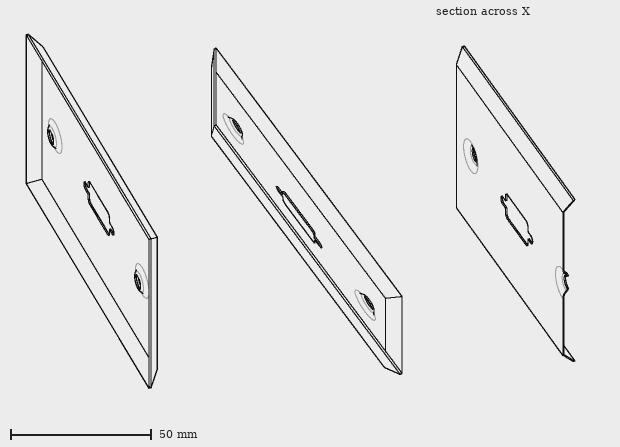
import cadquery as cq
import math

length = 116.1
height = 71.6
depth = 4.9
sheet = 0.6
edge_width = sheet * math.sqrt(2)

window_length = 20.0
window_height = 10.8
window_corner = 1.7
slot_length = 28.3
slot_height = 3.3

screw_spacing = 82.2
dimple_radius = 6.4
bend_radius = 4.0
hole_radius = 2.7
steepest_angle = math.radians(50)

floor_front = depth - sheet


def plane_at(y):
    """XZ plane at the given Y; extrusion goes toward +Y."""
    return cq.Workplane(cq.Plane(origin=(0, y, 0), xDir=(1, 0, 0), normal=(0, -1, 0)))


def flared_block(y_end):
    """Block at full size at Y = 0, narrowing at 45 degrees up to y_end."""
    return (
        plane_at(0)
        .rect(length, height)
        .workplane(offset=-y_end)
        .rect(length - 2 * y_end, height - 2 * y_end)
        .loft(combine=True, ruled=True)
    )


def make_tray():
    edge = plane_at(0).rect(length, height).extrude(-edge_width)
    shell = flared_block(depth - edge_width).translate((0, edge_width, 0))
    return edge.union(shell).cut(flared_block(floor_front))


def make_cutout():
    window = (
        plane_at(0)
        .rect(window_length, window_height)
        .extrude(-depth)
        .edges("|Y")
        .fillet(window_corner)
    )
    slot = plane_at(0).slot2D(slot_length, slot_height).extrude(-depth)
    return window.union(slot)


def make_dimple(x):
    """Ring of constant sheet thickness, revolved about the screw axis."""
    outer_arc = (dimple_radius - bend_radius) / math.sin(steepest_angle)
    inner_arc = (bend_radius - hole_radius) / math.sin(steepest_angle)
    tip = floor_front - (outer_arc + inner_arc) * (1 - math.cos(steepest_angle))
    outer_centre_y = floor_front - outer_arc
    inner_centre_y = tip + inner_arc

    def outer_point(angle, offset):
        reach = outer_arc + offset
        return (dimple_radius - reach * math.sin(angle), outer_centre_y + reach * math.cos(angle))

    def inner_point(angle, offset):
        reach = inner_arc - offset
        return (hole_radius + reach * math.sin(angle), inner_centre_y - reach * math.cos(angle))

    half_angle = steepest_angle / 2
    profile = (
        cq.Workplane("XY")
        .moveTo(*outer_point(0, 0))
        .threePointArc(outer_point(half_angle, 0), outer_point(steepest_angle, 0))
        .threePointArc(inner_point(half_angle, 0), inner_point(0, 0))
        .lineTo(*inner_point(0, sheet))
        .threePointArc(inner_point(half_angle, sheet), inner_point(steepest_angle, sheet))
        .threePointArc(outer_point(half_angle, sheet), outer_point(0, sheet))
        .close()
    )
    return profile.revolve(360, (0, 0, 0), (0, 1, 0)).translate((x, 0, 0))


result = make_tray().cut(make_cutout())
for screw_x in (-screw_spacing / 2, screw_spacing / 2):
    opening = plane_at(0).center(screw_x, 0).circle(dimple_radius).extrude(-depth)
    result = result.cut(opening).union(make_dimple(screw_x))